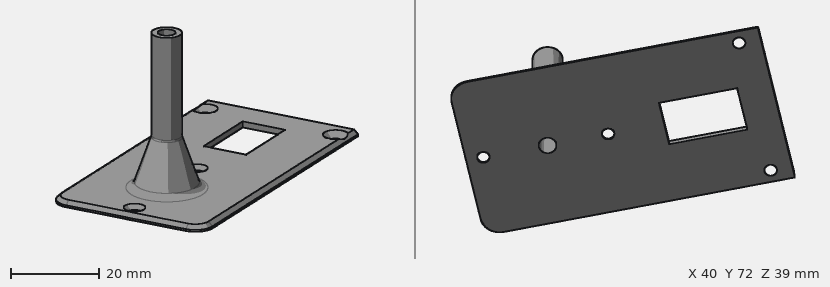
import cadquery as cq

plate_width = 40.0
plate_length = 72.0
plate_thickness = 1.5
corner_radius = 4.5
edge_chamfer = 1.0

total_height = 39.0
post_diameter = 7.0
bore_diameter = 4.0
cone_base_diameter = 15.8
cone_top_height = 14.0
foot_fillet = 2.0
neck_fillet = 1.45

back_edge = plate_length / 2
post_y = back_edge - 53.1
corner_hole_y = back_edge - 5.0
inner_hole_ys = (back_edge - 39.0, back_edge - 68.0)
window_setback = 7.9

corner_hole_x = 17.0
screw_diameter = 2.8
corner_sink_diameter = 5.8
inner_sink_diameter = 5.0
sink_angle = 90

window_width = 11.0
window_length = 18.15


def make_plate():
    """Plate with rounded front corners, bevelled on every top edge but the back."""
    plate = cq.Workplane("XY").box(
        plate_width, plate_length, plate_thickness, centered=(True, True, False)
    )
    plate = plate.edges("|Z and <Y").fillet(corner_radius)
    return plate.faces(">Z").edges("not >Y").chamfer(edge_chamfer)


def add_post(body):
    """Revolve the cone and post together, then blend the neck and the foot."""
    post_radius = post_diameter / 2
    cone_base_radius = cone_base_diameter / 2
    post = (
        cq.Workplane("XZ")
        .moveTo(0, plate_thickness)
        .lineTo(cone_base_radius, plate_thickness)
        .lineTo(post_radius, cone_top_height)
        .lineTo(post_radius, total_height)
        .lineTo(0, total_height)
        .close()
        .revolve(360, (0, 0, 0), (0, 1, 0))
        .translate((0, post_y, 0))
    )
    neck = cq.selectors.RadiusNthSelector(0)
    post = post.edges("%CIRCLE").edges("not >Z").edges(neck).fillet(neck_fillet)
    body = body.union(post)

    foot = cq.selectors.BoxSelector(
        (-cone_base_radius, post_y - cone_base_radius, 0),
        (cone_base_radius, post_y + cone_base_radius, plate_thickness + edge_chamfer),
    )
    return body.edges("%CIRCLE").edges(foot).fillet(foot_fillet)


def cut_screw_holes(body, centres, sink_diameter):
    """Through holes countersunk from the top of the plate."""
    return (
        body.copyWorkplane(cq.Workplane("XY", origin=(0, 0, plate_thickness)))
        .pushPoints(centres)
        .cskHole(screw_diameter, sink_diameter, sink_angle)
    )


def cut_window(body):
    window_y = back_edge - window_setback - window_length / 2
    window = cq.Workplane("XY").center(0, window_y).rect(window_width, window_length)
    return body.cut(window.extrude(plate_thickness))


def cut_bore(body):
    """Bore running through both the post and the plate."""
    bore = cq.Workplane("XY").center(0, post_y).circle(bore_diameter / 2)
    return body.cut(bore.extrude(total_height))


corner_holes = [(side * corner_hole_x, corner_hole_y) for side in (-1, 1)]
inner_holes = [(0, y) for y in inner_hole_ys]

result = make_plate()
result = add_post(result)
result = cut_screw_holes(result, corner_holes, corner_sink_diameter)
result = cut_screw_holes(result, inner_holes, inner_sink_diameter)
result = cut_window(result)
result = cut_bore(result)